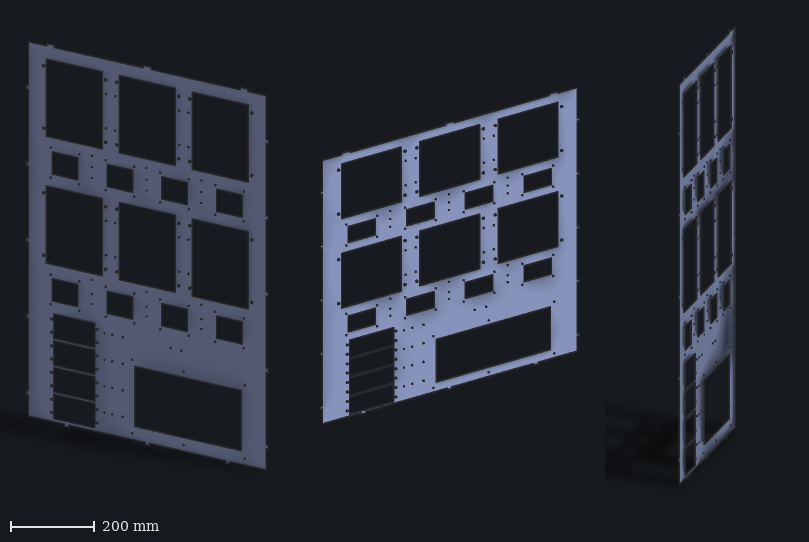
import cadquery as cq

overall_width = 662.0
overall_height = 992.0
thickness = 2.0

tab_depth = 6.0
side_tab_length = 10.0
side_tab_count = 5
side_tab_span = 800.0
side_tab_pitch = side_tab_span / (side_tab_count - 1)
side_tab_middle_z = -30.0
top_tab_length = 21.0
top_tab_pitch = 265.0
bottom_tab_length = 11.0
bottom_tab_pitch = 220.0
end_tab_count = 3

bank_pitch = 332.0

large_count = 3
large_width = 153.0
large_height = 202.0
large_pitch = side_tab_pitch
large_upper_z = 354.0
large_screw_spacing_x = 170.0
large_screw_spacing_z = 164.0
large_screw_offset_x = 1.0
large_screw_diameter = 6.0

strip_hole_spacing_x = 26.0
strip_hole_spacing_z = 90.0
strip_hole_diameter = 3.2

small_count = 4
small_width = 70.0
small_height = 59.0
small_pitch = 150.0
small_upper_z = 186.0
small_screw_spacing = 78.0
small_screw_diameter = 3.2

column_offset_x = -2.0
column_hole_diameter = 2.5
upper_column_heights = (43.0, 13.0, -16.0)
lower_column_heights = (50.0, 12.0, -14.0)

module_count = 4
module_width = 113.0
module_height = 64.0
module_span = 210.0
module_pitch = module_span / (module_count - 1)
module_x = -199.0
module_top_z = -240.0
module_screw_spacing_x = 124.0
module_screw_spacing_z = 35.0
module_screw_diameter = 5.0

row_top_z = -228.0
row_pitch = 69.0
row_end_x = -117.0
row_end_diameter = 2.5
row_pair_x = -81.0
row_pair_spacing = 29.0
row_pair_diameter = 3.2
extra_pair_x = 78.0

display_width = 292.0
display_height = 158.0
display_x = 111.0
display_z = -376.0
display_screw_columns = (-42.0, 99.0, 267.0)
display_screw_spacing_z = 192.0
display_screw_middle_z = -378.0
display_screw_diameter = 3.1


def spread(count, pitch, middle=0.0):
    """Evenly spaced coordinates centred on middle."""
    return [middle + (i - (count - 1) / 2) * pitch for i in range(count)]


def grid(xs, zs):
    """All (x, z) combinations."""
    return [(x, z) for x in xs for z in zs]


def bars(points, width, height):
    """Rectangular solids of the panel's thickness, one centred on each (x, z) point."""
    sketch = cq.Workplane("XZ").pushPoints(points).rect(width, height)
    return sketch.extrude(thickness / 2, both=True).solids().vals()


def pins(points, diameter):
    """Round solids of the panel's thickness, one centred on each (x, z) point."""
    sketch = cq.Workplane("XZ").pushPoints(points).circle(diameter / 2)
    return sketch.extrude(thickness / 2, both=True).solids().vals()


def panel():
    """The flat body with its edge tabs."""
    body_width = overall_width - 2 * tab_depth
    body_height = overall_height - 2 * tab_depth
    edge_z = body_height / 2
    side_heights = spread(side_tab_count, side_tab_pitch, side_tab_middle_z)
    top_points = grid(spread(end_tab_count, top_tab_pitch), [edge_z])
    bottom_points = grid(spread(end_tab_count, bottom_tab_pitch), [-edge_z])
    tabs = bars(grid([0], side_heights), overall_width, side_tab_length)
    tabs += bars(top_points, top_tab_length, 2 * tab_depth)
    tabs += bars(bottom_points, bottom_tab_length, 2 * tab_depth)
    body = cq.Workplane("XZ").rect(body_width, body_height).extrude(thickness / 2, both=True)
    for tab in tabs:
        body = body.union(cq.Workplane(tab))
    return body


def large_bank(z):
    """One row of large windows with their screw holes and the strip holes between them."""
    centres = spread(large_count, large_pitch)
    strips = spread(large_count - 1, large_pitch)
    screw_heights = spread(2, large_screw_spacing_z, z)
    strip_heights = spread(2, strip_hole_spacing_z, z)
    cutters = bars(grid(centres, [z]), large_width, large_height)
    for x in centres:
        screw_columns = spread(2, large_screw_spacing_x, x + large_screw_offset_x)
        cutters += pins(grid(screw_columns, screw_heights), large_screw_diameter)
    for x in strips:
        hole_columns = spread(2, strip_hole_spacing_x, x)
        cutters += pins(grid(hole_columns, strip_heights), strip_hole_diameter)
    return cutters


def small_bank(z, column_heights):
    """One row of small windows with their screw holes and the hole columns between them."""
    centres = spread(small_count, small_pitch)
    screw_heights = spread(2, small_screw_spacing, z)
    cutters = bars(grid(centres, [z]), small_width, small_height)
    for x in centres:
        screw_columns = spread(2, small_screw_spacing, x)
        cutters += pins(grid(screw_columns, screw_heights), small_screw_diameter)
    columns = spread(small_count - 1, small_pitch, column_offset_x)
    holes = grid(columns, [z + height for height in column_heights])
    return cutters + pins(holes, column_hole_diameter)


def module_stack():
    """The stacked module windows with two screw holes on each side."""
    centres = [module_top_z - i * module_pitch for i in range(module_count)]
    screw_columns = spread(2, module_screw_spacing_x, module_x)
    cutters = bars(grid([module_x], centres), module_width, module_height)
    for z in centres:
        screw_heights = spread(2, module_screw_spacing_z, z)
        cutters += pins(grid(screw_columns, screw_heights), module_screw_diameter)
    return cutters


def module_rows():
    """A row of three holes beside each module window and one pair further right."""
    heights = [row_top_z - i * row_pitch for i in range(module_count)]
    pairs = grid(spread(2, row_pair_spacing, row_pair_x), heights)
    pairs += grid(spread(2, row_pair_spacing, extra_pair_x), [row_top_z])
    ends = grid([row_end_x], heights)
    return pins(ends, row_end_diameter) + pins(pairs, row_pair_diameter)


def display():
    """The display window with its six screw holes."""
    screw_heights = spread(2, display_screw_spacing_z, display_screw_middle_z)
    screws = grid(display_screw_columns, screw_heights)
    window = bars([(display_x, display_z)], display_width, display_height)
    return window + pins(screws, display_screw_diameter)


openings = (
    large_bank(large_upper_z)
    + large_bank(large_upper_z - bank_pitch)
    + small_bank(small_upper_z, upper_column_heights)
    + small_bank(small_upper_z - bank_pitch, lower_column_heights)
    + module_stack()
    + module_rows()
    + display()
)
result = cq.Workplane(panel().solids().val().cut(*openings).Solids()[0])